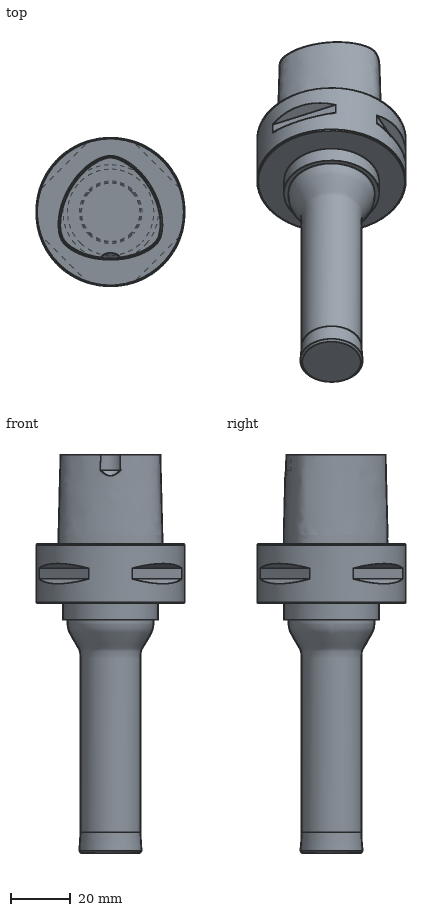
import cadquery as cq
import math


taper_base_width = 35.0
taper_length = 30.0
taper_straight_length = 3.0
taper_ratio = 1 / 20
lobe_height = 1.4
lobe_count = 3
lobe_direction = math.pi / 2
taper_top_width = taper_base_width - taper_ratio * (taper_length - taper_straight_length)

notch_radius = 4.3
notch_axis_y = -18.0
notch_depth = 5.3

flange_diameter = 50.0
flange_thickness = 20.0
flange_chamfer = 0.4
groove_count = 4
groove_first_angle = 45.0
groove_floor_distance = 22.1
groove_floor_height = 3.6
groove_wall_angle = 29.0
groove_z = -flange_thickness / 2

collar_diameter = 32.0
collar_bottom = -25.5
neck_diameter = 29.0
neck_bottom = -26.7
neck_cone_top_diameter = 28.2
neck_cone_top = -29.0
neck_cone_bottom_diameter = 22.2
neck_cone_bottom = -34.4
shaft_diameter = 20.2
shaft_blend_bottom = -38.2

head_top = -96.9
head_rim_z = -103.15
head_chamfer_bottom = -103.85
head_bottom = -104.0
head_rim_diameter = 21.0
head_face_diameter = 19.6


def polygon_point(angle, width):
    """Point of a constant-width, three-lobed outline, from its support distance and that distance's slope."""
    phase = lobe_count * (angle - lobe_direction)
    support = width / 2 + lobe_height * math.cos(phase)
    slope = -lobe_count * lobe_height * math.sin(phase)
    return (
        support * math.cos(angle) - slope * math.sin(angle),
        support * math.sin(angle) + slope * math.cos(angle),
    )


def polygon_outline(workplane, width):
    points_per_turn = 36
    points = [
        polygon_point(2 * math.pi * i / points_per_turn, width) for i in range(points_per_turn)
    ]
    return workplane.spline(points, periodic=True).close()


def make_taper():
    straight = polygon_outline(cq.Workplane("XY"), taper_base_width).extrude(taper_straight_length)
    base = polygon_outline(
        cq.Workplane("XY").workplane(offset=taper_straight_length), taper_base_width
    )
    top_plane = base.workplane(offset=taper_length - taper_straight_length)
    tapered = polygon_outline(top_plane, taper_top_width).loft(ruled=True)
    return straight.union(tapered)


def make_notch_cutter():
    """Vertical round cutter with a 45 degree conical end."""
    rim_z = taper_length - notch_depth
    return (
        cq.Workplane("XZ", origin=(0, notch_axis_y, 0))
        .moveTo(0, rim_z - notch_radius)
        .lineTo(notch_radius, rim_z)
        .lineTo(notch_radius, taper_length)
        .lineTo(0, taper_length)
        .close()
        .revolve(360, (0, 0, 0), (0, 1, 0))
    )


def make_flange():
    return (
        cq.Workplane("XY")
        .circle(flange_diameter / 2)
        .extrude(-flange_thickness)
        .edges()
        .chamfer(flange_chamfer)
    )


def make_groove_cutter(angle):
    """Straight groove with a flat floor and sloping walls, tangent to the flange at the given angle."""
    mouth_distance = flange_diameter / 2
    wall_rise = (mouth_distance - groove_floor_distance) * math.tan(math.radians(groove_wall_angle))
    floor_half = groove_floor_height / 2
    mouth_half = floor_half + wall_rise
    return (
        cq.Workplane("XZ")
        .moveTo(groove_floor_distance, groove_z - floor_half)
        .lineTo(mouth_distance, groove_z - mouth_half)
        .lineTo(mouth_distance, groove_z + mouth_half)
        .lineTo(groove_floor_distance, groove_z + floor_half)
        .close()
        .extrude(flange_diameter / 2, both=True)
        .rotate((0, 0, 0), (0, 0, 1), angle)
    )


def make_stem():
    """Collar, smoothly curved neck and shaft, turned in one profile."""
    neck_radius = neck_diameter / 2
    shaft_radius = shaft_diameter / 2
    neck_curve = [
        (neck_radius, neck_bottom),
        (neck_cone_top_diameter / 2, neck_cone_top),
        (neck_cone_bottom_diameter / 2, neck_cone_bottom),
        (shaft_radius, shaft_blend_bottom),
    ]
    downward = (0, -1)
    return (
        cq.Workplane("XZ")
        .moveTo(0, -flange_thickness)
        .lineTo(collar_diameter / 2, -flange_thickness)
        .lineTo(collar_diameter / 2, collar_bottom)
        .lineTo(neck_radius, collar_bottom)
        .lineTo(neck_radius, neck_bottom)
        .spline(neck_curve[1:], tangents=[downward, downward], includeCurrent=True)
        .lineTo(shaft_radius, head_top)
        .lineTo(0, head_top)
        .close()
        .revolve(360, (0, 0, 0), (0, 1, 0))
    )


def make_holder():
    flange = make_flange()
    for i in range(groove_count):
        flange = flange.cut(make_groove_cutter(groove_first_angle + i * 360 / groove_count))
    taper = make_taper().cut(make_notch_cutter())
    return flange.union(taper).union(make_stem())


def make_cutting_head():
    """Slightly flaring head with a chamfered rim and a shallow domed end face."""
    face_radius = head_face_diameter / 2
    dome_height = head_chamfer_bottom - head_bottom
    dome_radius = (face_radius**2 + dome_height**2) / (2 * dome_height)
    dome_half_angle = math.asin(face_radius / dome_radius) / 2
    dome_middle = (
        dome_radius * math.sin(dome_half_angle),
        head_bottom + dome_radius * (1 - math.cos(dome_half_angle)),
    )
    return (
        cq.Workplane("XZ")
        .moveTo(0, head_top)
        .lineTo(shaft_diameter / 2, head_top)
        .lineTo(head_rim_diameter / 2, head_rim_z)
        .lineTo(face_radius, head_chamfer_bottom)
        .threePointArc(dome_middle, (0, head_bottom))
        .close()
        .revolve(360, (0, 0, 0), (0, 1, 0))
    )


holder = make_holder()
cutting_head = make_cutting_head()

result = cq.Compound.makeCompound([holder.val(), cutting_head.val()])